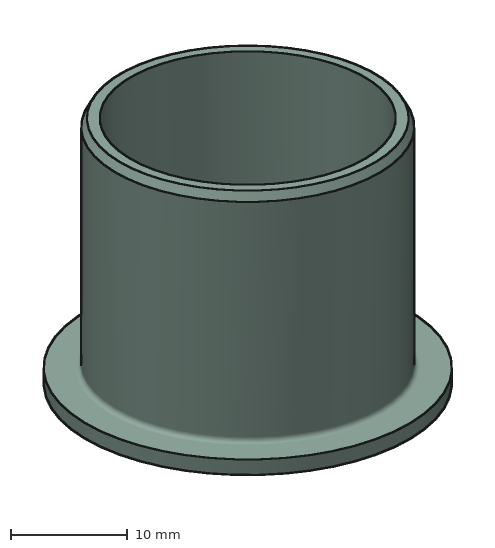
import cadquery as cq

flange_diameter = 34.92
flange_thickness = 1.5
sleeve_diameter = 28.5
bore_diameter = 25.3
total_height = 25.4
root_fillet_radius = 0.5
lead_in_height = 0.85
lead_in_width = 0.5

bore_radius = bore_diameter / 2
sleeve_radius = sleeve_diameter / 2
flange_radius = flange_diameter / 2
fillet_top = flange_thickness + root_fillet_radius
fillet_middle_offset = root_fillet_radius * (1 - 0.5 ** 0.5)

section = (
    cq.Workplane("XZ")
    .moveTo(bore_radius, 0)
    .lineTo(flange_radius, 0)
    .lineTo(flange_radius, flange_thickness)
    .lineTo(sleeve_radius + root_fillet_radius, flange_thickness)
    .threePointArc(
        (sleeve_radius + fillet_middle_offset, flange_thickness + fillet_middle_offset),
        (sleeve_radius, fillet_top),
    )
    .lineTo(sleeve_radius, total_height - lead_in_height)
    .lineTo(sleeve_radius - lead_in_width, total_height)
    .lineTo(bore_radius, total_height)
    .close()
)

result = section.revolve(360, (0, 0, 0), (0, 1, 0))